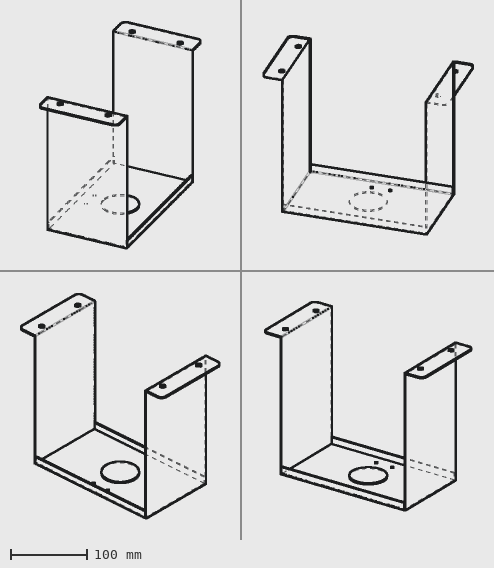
import cadquery as cq

width = 116.0
overall_length = 256.0
height = 200.0
channel_length = 200.0
sheet = 1.8
outer_bend_radius = sheet
flange_corner_radius = 7.5

lip_height = 11.5
lip_end_gap = 0.13
lip_length = channel_length - 2 * (sheet + lip_end_gap)

mount_hole_diameter = 7.0
mount_hole_spacing_x = 70.0
mount_hole_spacing_y = 216.0
floor_hole_diameter = 3.5
floor_hole_spacing = 25.5
floor_hole_x = -42.0
floor_hole_center_y = -3.8

disc_diameter = 50.0
disc_thickness = 2.0


def floor_and_lips():
    """Shallow U profile across X, run along Y, rounded outside its bends and sharp inside."""
    inner_width = width - 2 * sheet
    outer = (
        cq.Workplane("XY").box(width, lip_length, lip_height, centered=(True, True, False))
        .edges("|Y and <Z").fillet(outer_bend_radius)
    )
    inner = (
        cq.Workplane("XY").workplane(offset=sheet)
        .box(inner_width, lip_length, lip_height, centered=(True, True, False))
    )
    return outer.cut(inner)


def walls_and_flanges():
    """Hat profile in the YZ plane, run across the full width."""
    wall_outer = channel_length / 2
    wall_inner = wall_outer - sheet
    flange_end = overall_length / 2
    flange_bottom = height - sheet
    right_half = [
        (0, 0), (wall_outer, 0), (wall_outer, flange_bottom), (flange_end, flange_bottom),
        (flange_end, height), (wall_inner, height), (wall_inner, sheet), (0, sheet),
    ]
    half = cq.Workplane("YZ").polyline(right_half).close().extrude(width / 2, both=True)

    def round_bend(body, y, z, radius):
        probe = cq.selectors.BoxSelector(
            (-width, y - sheet / 4, z - sheet / 4), (width, y + sheet / 4, z + sheet / 4)
        )
        return body.edges(probe).fillet(radius)

    half = round_bend(half, wall_outer, 0, outer_bend_radius)
    half = round_bend(half, wall_inner, height, outer_bend_radius)
    half = half.edges("|Z and >Y").fillet(flange_corner_radius)
    hat = half.union(half.mirror("XZ"))

    envelope = (
        cq.Workplane("XY").box(width, overall_length, height, centered=(True, True, False))
        .edges("|Y and <Z").fillet(outer_bend_radius)
    )
    return hat.intersect(envelope)


def make_bracket():
    body = walls_and_flanges().union(floor_and_lips())
    mount_holes = (
        cq.Workplane("XY").workplane(offset=height - sheet)
        .rarray(mount_hole_spacing_x, mount_hole_spacing_y, 2, 2)
        .circle(mount_hole_diameter / 2).extrude(sheet)
    )
    floor_holes = (
        cq.Workplane("XY").center(floor_hole_x, floor_hole_center_y)
        .rarray(2.5, floor_hole_spacing, 1, 2)
        .circle(floor_hole_diameter / 2).extrude(sheet)
    )
    return body.cut(mount_holes).cut(floor_holes)


def make_disc():
    return cq.Workplane("XY").workplane(offset=sheet).circle(disc_diameter / 2).extrude(disc_thickness)


bracket = make_bracket()
disc = make_disc()
result = cq.Compound.makeCompound([bracket.val(), disc.val()])